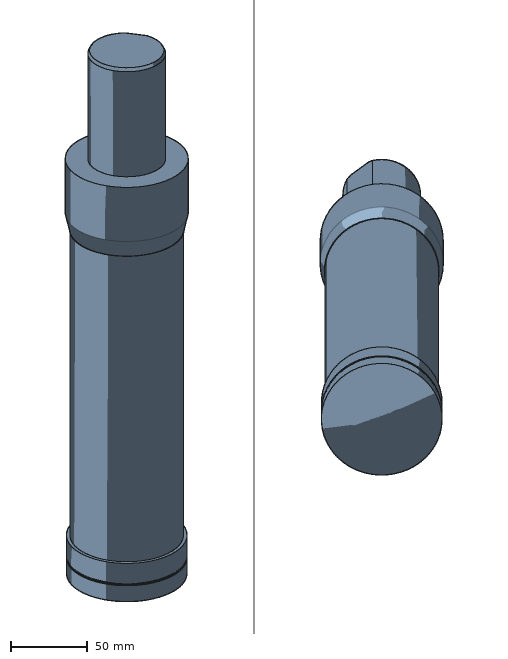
import cadquery as cq
import math

total_height = 387.0
head_top = 307.3
head_cone_top = 267.5
head_cone_bottom = 255.0
base_top = 29.8
base_groove_z = 14.0

head_diameter = 80.0
tube_diameter = 74.0
base_diameter = 78.5
base_groove_diameter = 77.0
cone_bottom_diameter = 74.5
rod_diameter = 50.7

base_groove_width = 1.0
bottom_dome_height = 1.5
rod_chamfer_height = 2.5
rod_chamfer_width = 1.0
rod_flat_depth = 2.5
rod_flat_start = head_top + 4.0
rod_seat = base_top


def make_base_groove():
    """Ring to cut away around the base collar."""
    return (
        cq.Workplane("XY", origin=(0, 0, base_groove_z - base_groove_width / 2))
        .circle(head_diameter / 2)
        .circle(base_groove_diameter / 2)
        .extrude(base_groove_width)
    )


def make_housing():
    """Turned cylinder body with a wide head, a base collar, a domed bottom and a blind rod bore."""
    head_radius = head_diameter / 2
    tube_radius = tube_diameter / 2
    base_radius = base_diameter / 2
    dome_radius = (base_radius**2 + bottom_dome_height**2) / (2 * bottom_dome_height)
    dome_middle_x = base_radius / 2
    dome_middle = (dome_middle_x, dome_radius - math.sqrt(dome_radius**2 - dome_middle_x**2))
    body = (
        cq.Workplane("XZ")
        .moveTo(0, 0)
        .threePointArc(dome_middle, (base_radius, bottom_dome_height))
        .lineTo(base_radius, base_top)
        .lineTo(tube_radius, base_top)
        .lineTo(tube_radius, head_cone_bottom)
        .lineTo(cone_bottom_diameter / 2, head_cone_bottom)
        .lineTo(head_radius, head_cone_top)
        .lineTo(head_radius, head_top)
        .lineTo(0, head_top)
        .close()
        .revolve(360, (0, 0, 0), (0, 1, 0))
    )
    bore = (
        cq.Workplane("XY", origin=(0, 0, rod_seat))
        .circle(rod_diameter / 2)
        .extrude(head_top - rod_seat)
    )
    return body.cut(make_base_groove()).cut(bore)


def make_rod():
    """Round rod with a chamfered top and a shallow flat on its +Y side."""
    rod = (
        cq.Workplane("XY", origin=(0, 0, rod_seat))
        .circle(rod_diameter / 2)
        .extrude(total_height - rod_seat)
        .faces(">Z")
        .edges()
        .chamfer(rod_chamfer_height, rod_chamfer_width)
    )
    flat_y = rod_diameter / 2 - rod_flat_depth
    flat_cut = cq.Workplane("XY").box(
        rod_diameter, rod_flat_depth, total_height - rod_flat_start, centered=(True, False, False)
    ).translate((0, flat_y, rod_flat_start))
    return rod.cut(flat_cut)


housing = make_housing()
rod = make_rod()
result = cq.Compound.makeCompound([housing.val(), rod.val()])